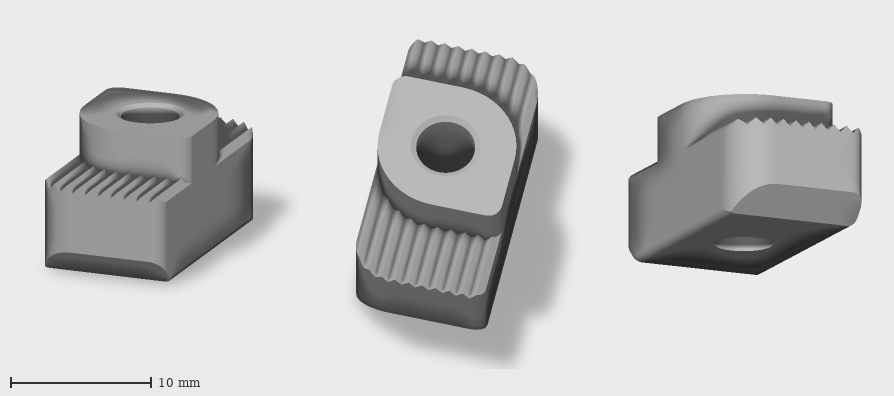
import cadquery as cq

width = 9.9
length = 19.8
height = 9.8
base_height = 6.81
base_large_radius = 2.97
end_chamfer = 1.98
bottom_edge_radius = 0.5

neck_length = width
neck_large_radius = neck_length / 2
small_radius = 0.99

tooth_count = 10
tooth_pitch = width / tooth_count
tooth_height = tooth_pitch / 2
valley_height = base_height - tooth_height

hole_diameter = 4.2
countersink_diameter = 4.99
countersink_depth = 0.24
hole_x = 0.1


def rounded_plan(size_y, large_radius, top):
    """Block with two large and two small corner radii, each pair diagonally opposite."""
    block = cq.Workplane("XY").box(width, size_y, top, centered=(True, True, False))
    for side_x, side_y, radius in (
        ("<X", "<Y", large_radius),
        (">X", ">Y", large_radius),
        ("<X", ">Y", small_radius),
        (">X", "<Y", small_radius),
    ):
        block = block.faces(side_x).edges("|Z").edges(side_y).fillet(radius)
    return block


def serrated_bar():
    """Bar along Y with a serrated top and rounded long bottom edges."""
    outline = [(-width / 2, 0), (-width / 2, valley_height)]
    for tooth in range(tooth_count):
        start_x = -width / 2 + tooth * tooth_pitch
        outline.append((start_x + tooth_pitch / 2, base_height))
        outline.append((start_x + tooth_pitch, valley_height))
    outline.append((width / 2, 0))
    bar = cq.Workplane("XZ").polyline(outline).close().extrude(length / 2, both=True)
    return bar.faces("<Z").edges("|Y").fillet(bottom_edge_radius)


def end_profile():
    """Side profile of the base with both lower ends cut at 45 degrees, spanning the width."""
    return (
        cq.Workplane("YZ")
        .rect(length, base_height)
        .extrude(width / 2, both=True)
        .translate((0, 0, base_height / 2))
        .faces("<Z")
        .edges("|X")
        .chamfer(end_chamfer)
    )


base_plan = rounded_plan(length, base_large_radius, base_height)
base = serrated_bar().intersect(base_plan).intersect(end_profile())

neck_start = base_height / 2
neck = rounded_plan(neck_length, neck_large_radius, height - neck_start).translate((0, 0, neck_start))

hole = cq.Workplane("XY").center(hole_x, 0).circle(hole_diameter / 2).extrude(height)
countersink = (
    cq.Workplane("XY", origin=(hole_x, 0, height))
    .circle(countersink_diameter / 2)
    .workplane(offset=-countersink_depth)
    .circle(hole_diameter / 2)
    .loft()
)

result = base.union(neck).cut(hole).cut(countersink)